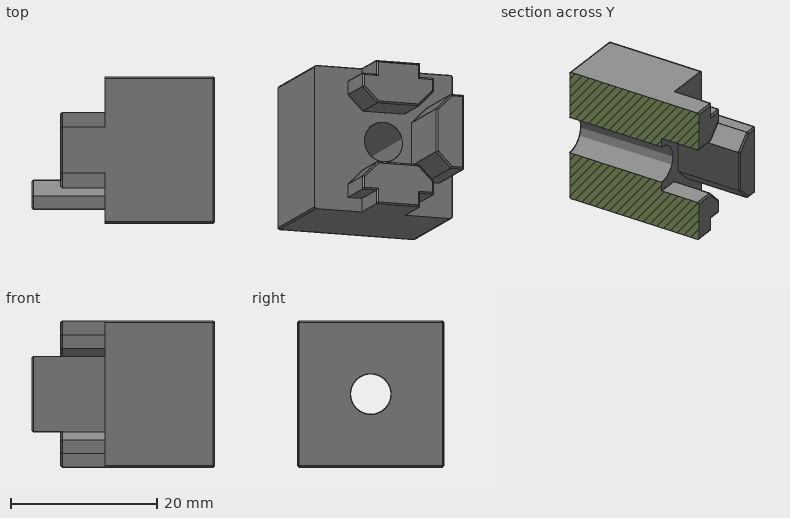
import cadquery as cq

length = 25.0
side = 20.0
half_side = side / 2
body_start = 10.0
bore_diameter = 5.5
edge_chamfer = 0.22

short_tab_start = 3.95
long_tab_start = 0.0
tab_half_width = 5.15
tab_inner_half_width = 3.0
stem_half_width = 3.15
tab_inner = 4.1
tab_taper_end = tab_inner + tab_half_width - tab_inner_half_width
tab_outer = 8.1


def tab_outline(outer_points):
    """Mirrored tab outline as (across, out from the axis) points."""
    half = [(tab_inner_half_width, tab_inner), (tab_half_width, tab_taper_end),
            (tab_half_width, tab_outer)] + outer_points
    return half + [(-across, out) for across, out in reversed(half)]


def make_tab(points, start):
    """Extrude an outline up to the body and chamfer its free end."""
    tab = cq.Workplane("YZ").polyline(points).close().extrude(body_start - start)
    return tab.faces("<X").chamfer(edge_chamfer).translate((start, 0, 0))


def make_body():
    body = cq.Workplane("YZ").rect(side, side).extrude(length - body_start)
    body = body.edges("|X").chamfer(edge_chamfer)
    body = body.faces(">X").chamfer(edge_chamfer)
    return body.translate((body_start, 0, 0))


stem_points = [(stem_half_width, tab_outer), (stem_half_width, half_side)]
top_tab = make_tab(tab_outline(stem_points), short_tab_start)
bottom_tab = top_tab.mirror("XY")

long_points = [(-out, across) for across, out in tab_outline([])]
long_tab = make_tab(long_points, long_tab_start)

bore = cq.Workplane("YZ").circle(bore_diameter / 2).extrude(length)

result = make_body().union(top_tab).union(bottom_tab).union(long_tab).cut(bore)